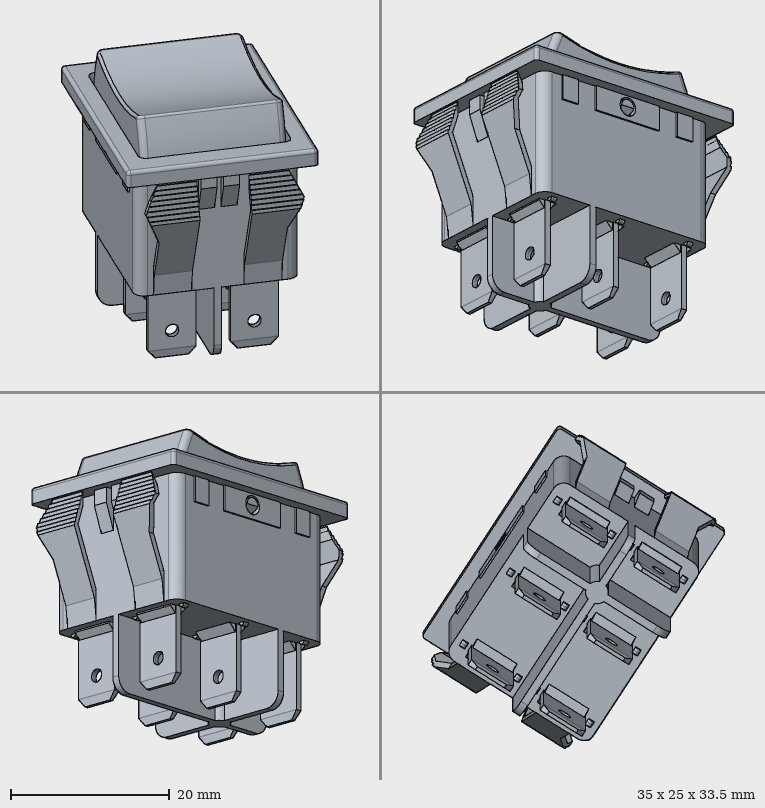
import cadquery as cq
import math


bezel_x = 32.0
bezel_y = 25.0
bezel_height = 2.2
bezel_fillet = 0.5
case_x = 27.0
case_y = 21.4
case_depth = 16.7
case_corner_radius = 1.5
wall_embed = 0.18

well_x = 25.55
well_y = 19.88
well_floor_z = -5.0
well_corner_radius = 1.0

pivot_z = -1.5
pivot_diameter = 2.0
pivot_hole_diameter = 2.5
rocker_y = 19.05
rocker_bottom_x = 12.3
rocker_bottom_z = -2.8
rocker_flank_x = 11.38
rocker_flank_z = 3.5
rocker_crest_x = 10.05
rocker_dish_radius = 30.0
rocker_dish_z = 5.1
rocker_corner_radius = 0.9
rocker_edge_fillet = 0.4

pad_depth = 3.35
pad_thickness = 0.25
center_pad_width = 10.15
outer_pad_width = 2.5
outer_pad_x = 9.2

rib_y = 1.47
rib_width = 2.1
rib_reach = 1.25
rib_straight_depth = 2.0
rib_depth = 5.42

clip_top_z = -0.2
clip_tip_x = 17.5
clip_top_outer_x = 16.05
clip_top_inner_x = 15.92
clip_tooth_count = 7
clip_grip_bottom_z = -4.48
clip_bend_z = -4.97
clip_inner_bend_x = 16.8
clip_inner_bend_z = -4.7
clip_straight_z = -2.15
clip_foot_x = 13.82
clip_foot_z = -13.75
clip_root_z = -12.6
clip_inner_y = 3.4
clip_top_y = 8.6
clip_wide_y = 10.32
clip_wide_z = -3.6
clip_narrow_y = 8.35
clip_narrow_z = -8.15

divider_length = 10.05
divider_thickness = 1.0
divider_corner_radius = 2.0
divider_post_diameter = 2.87
cross_divider_x = -5.42

terminal_spacing_x = 10.95
terminal_spacing_y = 10.75
terminal_width = 6.25
terminal_thickness = 0.85
terminal_length = 9.98
terminal_taper_length = 1.12
terminal_tip_width = 4.35
terminal_tip_thickness = 0.5
terminal_hole_diameter = 1.7
terminal_hole_drop = 6.35
terminal_embed = 0.35

collar_height = 1.05
collar_width = 5.95
collar_outer_x = 12.2
nub_offset = 4.02
nub_radius = 0.42

case_bottom_z = -case_depth


def box(size_x, size_y, z_low, z_high, center_x=0.0, center_y=0.0):
    """Upright box centred on (center_x, center_y) between two heights."""
    base = cq.Workplane("XY").workplane(offset=z_low).center(center_x, center_y)
    return base.rect(size_x, size_y).extrude(z_high - z_low)


def prism_along_y(points, width, center_y=0.0):
    """Prism of an (x, z) outline, centred on center_y."""
    plane = cq.Workplane("XZ", origin=(0, center_y, 0))
    return plane.polyline(points).close().extrude(width / 2, both=True)


def prism_along_x(points, width):
    """Prism of a (y, z) outline, centred on X = 0."""
    return cq.Workplane("YZ").polyline(points).close().extrude(width / 2, both=True)


def mirrored_pair(shape, plane):
    """The shape together with its mirror image."""
    return shape.union(shape.mirror(plane))


def pivot_cylinder(diameter, length):
    """Cylinder on the pivot axis, which runs along Y."""
    return cq.Workplane("XZ").center(0, pivot_z).circle(diameter / 2).extrude(length / 2, both=True)


def make_case():
    bezel = box(bezel_x, bezel_y, 0, bezel_height)
    bezel = bezel.edges("|Z or >Z").fillet(bezel_fillet)
    case = box(case_x, case_y, case_bottom_z, 0).edges("|Z").fillet(case_corner_radius)
    return bezel.union(case)


def make_pads():
    pad_y = case_y + 2 * pad_thickness
    pads = box(center_pad_width, pad_y, -pad_depth, 0)
    for side in (-1, 1):
        pads = pads.union(box(outer_pad_width, pad_y, -pad_depth, 0, side * outer_pad_x))
    return pads


def make_ribs():
    wall_x = case_x / 2
    outline = [
        (wall_x - wall_embed, 0),
        (wall_x + rib_reach, 0),
        (wall_x + rib_reach, -rib_straight_depth),
        (wall_x, -rib_depth),
        (wall_x - wall_embed, -rib_depth),
    ]
    ribs = mirrored_pair(prism_along_y(outline, rib_width, rib_y), "XZ")
    return mirrored_pair(ribs, "YZ")


def make_clips():
    """Four bent spring clips with a stepped finger grip on their outer face."""
    wall_x = case_x / 2
    root_x = wall_x - wall_embed
    tooth_pitch = (clip_top_z - clip_grip_bottom_z) / clip_tooth_count
    tooth_step = (clip_tip_x - clip_top_outer_x) / clip_tooth_count
    outline = [(clip_top_inner_x, clip_top_z)]
    for tooth in range(clip_tooth_count):
        tooth_x = clip_top_outer_x + tooth * tooth_step
        tooth_z = clip_top_z - tooth * tooth_pitch
        outline += [(tooth_x, tooth_z), (tooth_x, tooth_z - tooth_pitch)]
    outline += [
        (clip_tip_x, clip_grip_bottom_z),
        (clip_tip_x, clip_bend_z),
        (clip_foot_x, clip_foot_z),
        (wall_x, case_bottom_z),
        (root_x, case_bottom_z),
        (root_x, clip_root_z),
        (wall_x, clip_root_z),
        (clip_inner_bend_x, clip_inner_bend_z),
        (clip_top_inner_x, clip_straight_z),
    ]
    side_shape = prism_along_y(outline, case_y)
    front_outline = [
        (clip_inner_y, clip_top_z),
        (clip_top_y, clip_top_z),
        (clip_wide_y, clip_wide_z),
        (clip_narrow_y, clip_narrow_z),
        (clip_narrow_y, case_bottom_z),
        (clip_inner_y, case_bottom_z),
    ]
    clip = side_shape.intersect(prism_along_x(front_outline, 2 * clip_tip_x))
    return mirrored_pair(mirrored_pair(clip, "XZ"), "YZ")


def make_dividers():
    """Two crossing walls with rounded lower corners and a round post where they cross."""
    low_z = case_bottom_z - divider_length
    long_wall = box(case_x, divider_thickness, low_z, case_bottom_z)
    long_wall = long_wall.edges("|Y and <Z").fillet(divider_corner_radius)
    cross_wall = box(divider_thickness, case_y, low_z, case_bottom_z, cross_divider_x)
    cross_wall = cross_wall.edges("|X and <Z").fillet(divider_corner_radius)
    post = cq.Workplane("XY").workplane(offset=low_z).center(cross_divider_x, 0)
    post = post.circle(divider_post_diameter / 2).extrude(divider_length)
    return long_wall.union(cross_wall).union(post)


def tapered_outline(width, tip_width):
    """Outline of a terminal blade, about a vertical centre line."""
    top_z = case_bottom_z + terminal_embed
    tip_z = case_bottom_z - terminal_length
    taper_z = tip_z + terminal_taper_length
    half = width / 2
    half_tip = tip_width / 2
    return [
        (-half, top_z),
        (half, top_z),
        (half, taper_z),
        (half_tip, tip_z),
        (-half_tip, tip_z),
        (-half, taper_z),
    ]


def make_terminal():
    """One terminal at X = 0, Y = 0, with its collar and two half-round nubs."""
    blade = prism_along_x(tapered_outline(terminal_width, terminal_tip_width), terminal_thickness)
    edge_shape = prism_along_y(tapered_outline(terminal_thickness, terminal_tip_thickness), terminal_width)
    blade = blade.intersect(edge_shape)
    hole = cq.Workplane("YZ").center(0, case_bottom_z - terminal_hole_drop)
    blade = blade.cut(hole.circle(terminal_hole_diameter / 2).extrude(terminal_thickness, both=True))

    half_tip = terminal_thickness / 2
    half_root = half_tip + collar_height
    collar_outline = [
        (-half_root, case_bottom_z),
        (half_root, case_bottom_z),
        (half_tip, case_bottom_z - collar_height),
        (-half_tip, case_bottom_z - collar_height),
    ]
    terminal = blade.union(prism_along_y(collar_outline, collar_width))

    for side in (-1, 1):
        nub = cq.Workplane("YZ").center(side * nub_offset, case_bottom_z).circle(nub_radius)
        terminal = terminal.union(nub.extrude(terminal_thickness / 2, both=True))
    return terminal


def make_housing():
    housing = make_case().union(make_pads()).union(make_ribs()).union(make_clips())
    housing = housing.union(make_dividers())

    terminal = make_terminal()
    terminal_limit = box(2 * collar_outer_x, case_y, case_bottom_z - terminal_length, 0)
    for x in (-terminal_spacing_x, 0, terminal_spacing_x):
        for y in (-terminal_spacing_y / 2, terminal_spacing_y / 2):
            placed = terminal.translate((x, y, 0)).intersect(terminal_limit)
            housing = housing.union(placed)

    well = box(well_x, well_y, well_floor_z, bezel_height).edges("|Z").fillet(well_corner_radius)
    return housing.cut(well).cut(pivot_cylinder(pivot_hole_diameter, bezel_y))


def make_rocker_block():
    """Dished paddle with bowed ends that lean in toward the crests."""
    dish_rise = rocker_dish_radius - math.sqrt(rocker_dish_radius**2 - rocker_crest_x**2)
    crest_z = rocker_dish_z + dish_rise
    profile = (
        cq.Workplane("XZ")
        .moveTo(-rocker_bottom_x, rocker_bottom_z)
        .threePointArc((-rocker_flank_x, rocker_flank_z), (-rocker_crest_x, crest_z))
        .threePointArc((0, rocker_dish_z), (rocker_crest_x, crest_z))
        .threePointArc((rocker_flank_x, rocker_flank_z), (rocker_bottom_x, rocker_bottom_z))
        .close()
    )
    block = profile.extrude(rocker_y / 2, both=True)
    end_edges = block.edges("not |Y").filter(lambda edge: abs(edge.Center().x) > rocker_crest_x)
    block = end_edges.fillet(rocker_corner_radius)
    dish = block.faces(cq.selectors.NearestToPointSelector((0, 0, crest_z)))
    return dish.edges().fillet(rocker_edge_fillet)


def make_rocker():
    tip_y = case_y / 2 + pad_thickness
    pins = pivot_cylinder(pivot_diameter, 2 * tip_y)
    pin_radius = pivot_diameter / 2
    low_z = pivot_z - pin_radius
    bevel = prism_along_x([(tip_y, pivot_z), (tip_y, low_z), (tip_y - pin_radius, low_z)], pivot_diameter)
    pins = pins.cut(mirrored_pair(bevel, "XZ"))
    return make_rocker_block().union(pins)


housing = make_housing()
rocker = make_rocker()

result = cq.Compound.makeCompound([housing.val(), rocker.val()])